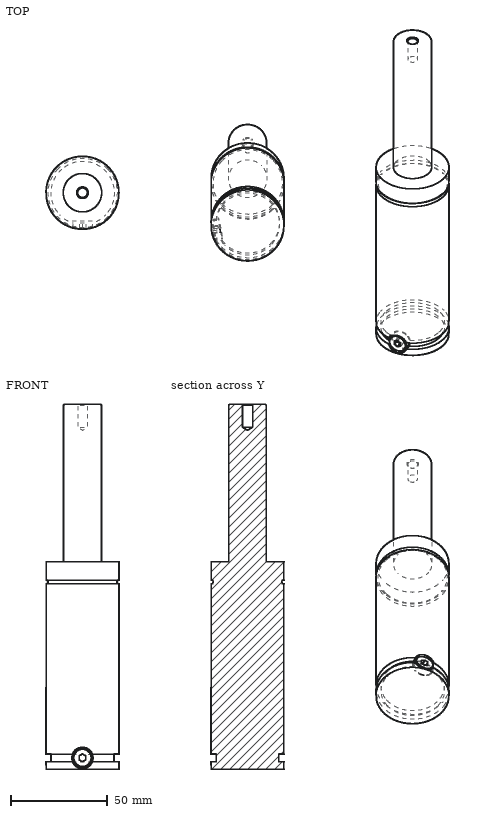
import cadquery as cq
import math

BODY_DIAMETER = 38.0
BODY_HEIGHT = 108.0
BODY_RADIUS = BODY_DIAMETER / 2

BASE_GROOVE_DIAMETER = 33.0
BASE_GROOVE_BOTTOM = 4.0
BASE_GROOVE_WIDTH = 4.0

CAP_HEIGHT = 10.5
CAP_GROOVE_RADIUS = 1.0

ROD_DIAMETER = 20.0
TOTAL_HEIGHT = 190.0
ROD_LENGTH = TOTAL_HEIGHT - BODY_HEIGHT
ROD_FILLET = 1.0

HOLE_DIAMETER = 5.0
HOLE_DEPTH = 12.0
HOLE_POINT_ANGLE = 118.0
HOLE_MOUTH_CHAMFER = 0.5

PLUG_DIAMETER = 10.0
SEAT_DIAMETER = 11.0
SEAT_DEPTH = 4.0
PLUG_HEIGHT = 6.0
PLUG_CHAMFER = 0.5
PLUG_RECESS = 0.5
PLUG_FACE = BODY_RADIUS - PLUG_RECESS
PLUG_LENGTH = 8.0
SOCKET_ACROSS_FLATS = 3.5
SOCKET_DEPTH = 3.0


def make_body():
    body = cq.Workplane("XY").circle(BODY_RADIUS).extrude(BODY_HEIGHT)
    base_groove = (
        cq.Workplane("XY", origin=(0, 0, BASE_GROOVE_BOTTOM))
        .circle(BODY_DIAMETER)
        .circle(BASE_GROOVE_DIAMETER / 2)
        .extrude(BASE_GROOVE_WIDTH)
    )
    groove_centre = cq.Vector(0, 0, BODY_HEIGHT - CAP_HEIGHT)
    cap_groove = cq.Workplane("XY").add(
        cq.Solid.makeTorus(BODY_RADIUS, CAP_GROOVE_RADIUS, groove_centre, cq.Vector(0, 0, 1))
    )
    return body.cut(base_groove).cut(cap_groove)


def make_rod():
    return (
        cq.Workplane("XY", origin=(0, 0, BODY_HEIGHT))
        .circle(ROD_DIAMETER / 2)
        .extrude(ROD_LENGTH)
        .faces(">Z")
        .fillet(ROD_FILLET)
    )


def make_rod_hole():
    """Half section of the hole in the XZ plane, turned about Z."""
    radius = HOLE_DIAMETER / 2
    mouth_radius = radius + HOLE_MOUTH_CHAMFER
    shoulder = TOTAL_HEIGHT - HOLE_DEPTH
    point_depth = radius / math.tan(math.radians(HOLE_POINT_ANGLE / 2))
    return (
        cq.Workplane("XZ")
        .moveTo(0, TOTAL_HEIGHT)
        .lineTo(mouth_radius, TOTAL_HEIGHT)
        .lineTo(radius, TOTAL_HEIGHT - HOLE_MOUTH_CHAMFER)
        .lineTo(radius, shoulder)
        .lineTo(0, shoulder - point_depth)
        .close()
        .revolve(360, (0, 0, 0), (0, 1, 0))
    )


def plug_plane(distance):
    """Plane facing -Y, centred on the plug, at the given distance from the body axis."""
    return cq.Workplane("XZ", origin=(0, -distance, PLUG_HEIGHT))


def add_plug(body):
    seat = plug_plane(PLUG_FACE - SEAT_DEPTH).circle(SEAT_DIAMETER / 2).extrude(BODY_RADIUS)
    plug = (
        plug_plane(PLUG_FACE - PLUG_LENGTH)
        .circle(PLUG_DIAMETER / 2)
        .extrude(PLUG_LENGTH)
        .faces("<Y")
        .chamfer(PLUG_CHAMFER)
    )
    across_corners = SOCKET_ACROSS_FLATS / math.cos(math.radians(30))
    socket = (
        plug_plane(PLUG_FACE - SOCKET_DEPTH)
        .transformed(rotate=(0, 0, 90))
        .polygon(6, across_corners)
        .extrude(SOCKET_DEPTH)
    )
    return body.cut(seat).union(plug.cut(socket))


result = add_plug(make_body()).union(make_rod()).cut(make_rod_hole())